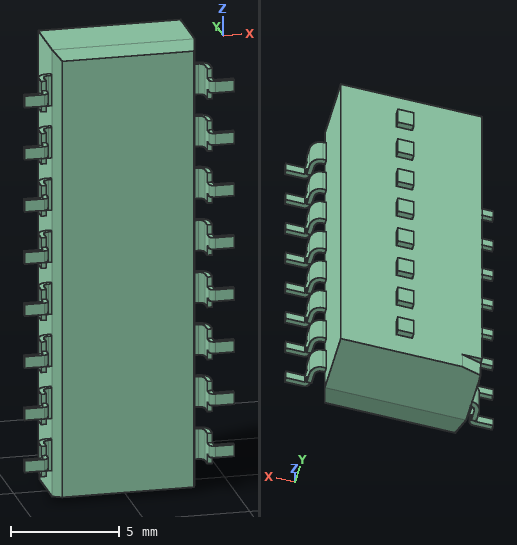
import cadquery as cq


body_height = 21.8
body_width = 6.75
block_depth = 2.77
base_depth = 0.98
base_inset = 0.26
mark_width = 0.95
mark_depth = 0.25
mark_height = 1.05

position_count = 8
pitch = 2.54

actuator_start = -0.05
actuator_width = 0.76
actuator_height = 1.11
actuator_depth = 0.26

lead_span = 9.91
lead_thickness = 0.25
lead_outer_radius = 0.5
leg_reach = 0.68
foot_drop = 0.28
shoulder_length = 0.48
shoulder_height = 1.48
foot_height = 0.57
lead_embed = 0.22

body_side = body_width / 2
shoulder_top = 0.26
leg_outer = body_side + leg_reach
leg_inner = leg_outer - lead_thickness
foot_bottom = -base_depth - foot_drop
shoulder_end = shoulder_top - lead_outer_radius - shoulder_length


def make_body():
    block = (
        cq.Workplane("XY")
        .box(body_width, block_depth, body_height, centered=(True, False, True))
    )
    base = (
        cq.Workplane("XZ")
        .rect(body_width, body_height)
        .workplane(offset=base_depth)
        .rect(body_width - 2 * base_inset, body_height - 2 * base_inset)
        .loft(ruled=True)
    )
    return block.union(base)


def make_corner_mark():
    """Bevel cutter for the lower end of the -X, +Y edge."""
    return (
        cq.Workplane("XY", origin=(-body_side, block_depth, -body_height / 2))
        .polyline([(0, 0), (mark_width, 0), (0, -mark_depth)])
        .close()
        .extrude(mark_height)
    )


def make_actuator():
    return (
        cq.Workplane("XY")
        .box(actuator_width, actuator_depth, actuator_height, centered=(False, False, True))
        .translate((actuator_start, block_depth, 0))
    )


def make_lead():
    """Lead on the +X side, centred on Z = 0, with a sharp inner corner at the foot."""
    bend_inner_radius = lead_outer_radius - lead_thickness
    bend_x = leg_outer - lead_outer_radius
    bend_y = shoulder_top - lead_outer_radius
    foot_top = foot_bottom + lead_thickness
    root_x = body_side - lead_embed
    tip_x = lead_span / 2
    strip = (
        cq.Workplane("XY", origin=(0, 0, -shoulder_height / 2))
        .moveTo(root_x, shoulder_top)
        .lineTo(bend_x, shoulder_top)
        .radiusArc((leg_outer, bend_y), lead_outer_radius)
        .lineTo(leg_outer, foot_top)
        .lineTo(tip_x, foot_top)
        .lineTo(tip_x, foot_bottom)
        .lineTo(leg_outer, foot_bottom)
        .radiusArc((leg_inner, foot_top), lead_thickness)
        .lineTo(leg_inner, bend_y)
        .radiusArc((bend_x, shoulder_top - lead_thickness), -bend_inner_radius)
        .lineTo(root_x, shoulder_top - lead_thickness)
        .close()
        .extrude(shoulder_height)
    )
    shoulder_zone = (
        cq.Workplane("XY")
        .box(lead_span, shoulder_top - shoulder_end, shoulder_height, centered=(True, False, True))
        .translate((0, shoulder_end, 0))
    )
    foot_zone = cq.Workplane("XY").box(lead_span, 2 * lead_span, foot_height)
    return strip.intersect(shoulder_zone.union(foot_zone))


right_lead = make_lead()
left_lead = right_lead.mirror("YZ")
actuator = make_actuator()

result = make_body().cut(make_corner_mark())
for index in range(position_count):
    position_z = (index - (position_count - 1) / 2) * pitch
    for feature in (right_lead, left_lead, actuator):
        result = result.union(feature.translate((0, 0, position_z)))